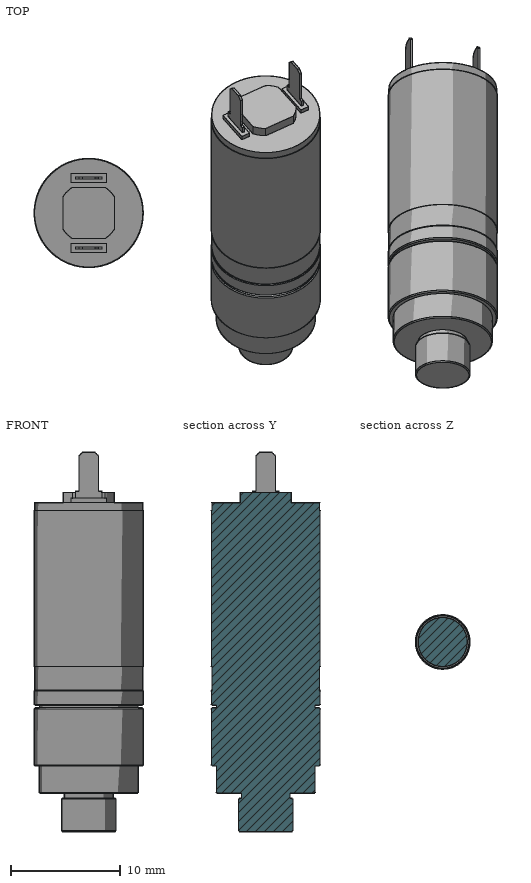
import cadquery as cq

total_height = 34.68
body_diameter = 10.0
trim_diameter = 9.9
collar_diameter = 9.1
groove_diameter = 9.0
stub_diameter = 5.0
neck_diameter = 4.5
edge_chamfer = 0.1

stub_top = 3.1
collar_bottom = 3.5
base_bottom = 6.0
base_top = 11.35
ring_bottom = 11.55
ring_top = 12.97
sleeve_top = 15.12
lid_bottom = 29.35
lid_top = 30.07

pad_width = 4.68
pad_corner_diameter = 5.55
pad_top = 31.0

terminal_offset = 3.2
flange_length = 3.23
flange_width = 0.83
flange_top = 30.5
blade_thickness = 0.2
blade_width = 1.8
blade_tip_chamfer = 0.35
foot_width = 2.43
foot_top = 31.1


def cylinder(diameter, bottom, top):
    """Round section on the Z axis between two heights."""
    return cq.Workplane("XY").workplane(offset=bottom).circle(diameter / 2).extrude(top - bottom)


def block(length, width, bottom, top):
    """Rectangular block centred on the Z axis between two heights."""
    return cq.Workplane("XY").workplane(offset=bottom).rect(length, width).extrude(top - bottom)


def make_body():
    """Stepped round housing from the lower stub to the lid."""
    stub = cylinder(stub_diameter, 0, stub_top).faces("<Z or >Z").chamfer(edge_chamfer)
    neck = cylinder(neck_diameter, stub_top, collar_bottom)
    collar = cylinder(collar_diameter, collar_bottom, base_bottom).faces("<Z").chamfer(edge_chamfer)
    base = cylinder(body_diameter, base_bottom, base_top).faces("<Z or >Z").chamfer(edge_chamfer)
    groove = cylinder(groove_diameter, base_top, ring_bottom)
    ring = cylinder(body_diameter, ring_bottom, ring_top).faces("<Z or >Z").chamfer(edge_chamfer)
    sleeve = cylinder(trim_diameter, ring_top, sleeve_top)
    can = cylinder(body_diameter, sleeve_top, lid_bottom)
    lid = cylinder(trim_diameter, lid_bottom, lid_top)
    body = stub
    for section in (neck, collar, base, groove, ring, sleeve, can, lid):
        body = body.union(section, clean=False)
    return body


def make_pad():
    """Square pad with its corners rounded about the Z axis."""
    square = block(pad_width, pad_width, lid_top, pad_top)
    return square.intersect(cylinder(pad_corner_diameter, lid_top, pad_top))


def make_terminal():
    """Flat blade with a wider foot, standing on a flange."""
    flange = block(flange_length, flange_width, lid_top, flange_top)
    foot = block(foot_width, blade_thickness, flange_top, foot_top)
    blade = block(blade_width, blade_thickness, flange_top, total_height)
    blade = blade.faces(">Z").edges("|Y").chamfer(blade_tip_chamfer)
    return flange.union(foot).union(blade)


result = make_body().union(make_pad(), clean=False)
for side in (-1, 1):
    terminal = make_terminal().translate((0, side * terminal_offset, 0))
    result = result.union(terminal, clean=False)